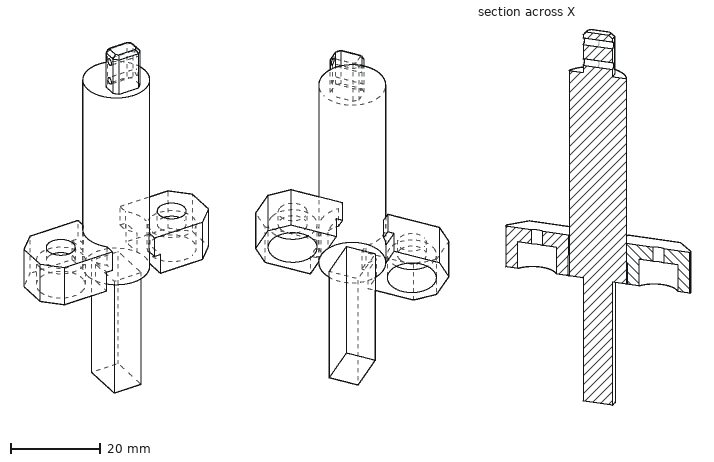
import cadquery as cq

barrel_diameter = 15.0
barrel_radius = barrel_diameter / 2
total_height = 90.0
bar_width = 10.0
bar_depth = 7.0
bar_length = 30.0
tab_width = 5.0
tab_height = 10.0
tab_center_x = 3.0
tab_corner_chamfer = 1.0
tab_top_chamfer = 0.8
pin_hole_diameter = 1.5
pin_hole_spacing = 5.0
upper_pin_hole_drop = 2.4
barrel_top = total_height - tab_height
barrel_length = barrel_top - bar_length

overall_depth = 44.0
lug_outer_y = overall_depth / 2
lug_height = 10.0
lug_inner_y = 5.5
lug_step_y = 7.0
lug_step_height = 5.0
lug_corner_chamfer = 4.0
bolt_hole_y = 14.5
bolt_hole_diameter = 6.5
bolt_head_diameter = 11.0
bolt_head_depth = 6.5


def make_plunger():
    """Round barrel with a square-edged bar below and an offset drilled tab above."""
    bar = cq.Workplane("XY").rect(bar_width, bar_depth).extrude(bar_length)
    barrel = cq.Workplane("XY", origin=(0, 0, bar_length)).circle(barrel_radius).extrude(barrel_length)
    return bar.union(barrel).union(make_tab())


def make_tab():
    """Chamfered tab, as deep as the bar, with two pin holes along Y."""
    tab = (
        cq.Workplane("XY", origin=(tab_center_x, 0, barrel_top))
        .rect(tab_width, bar_depth)
        .extrude(tab_height)
        .edges("|Z")
        .chamfer(tab_corner_chamfer)
        .faces(">Z")
        .chamfer(tab_top_chamfer)
    )
    upper_hole_z = total_height - upper_pin_hole_drop
    pin_holes = (
        cq.Workplane("XZ")
        .pushPoints([(tab_center_x, upper_hole_z), (tab_center_x, upper_hole_z - pin_hole_spacing)])
        .circle(pin_hole_diameter / 2)
        .extrude(bar_depth, both=True)
    )
    return tab.cut(pin_holes)


def make_lug(side):
    """Stepped lug hugging the barrel, its bolt hole counterbored from below; side is +1 for +Y and -1 for -Y."""
    profile = [
        (side * lug_step_y, bar_length),
        (side * lug_outer_y, bar_length),
        (side * lug_outer_y, bar_length + lug_height),
        (side * lug_inner_y, bar_length + lug_height),
        (side * lug_inner_y, bar_length + lug_step_height),
        (side * lug_step_y, bar_length + lug_step_height),
    ]
    outer_face = ">Y" if side > 0 else "<Y"
    lug = (
        cq.Workplane("YZ")
        .polyline(profile)
        .close()
        .extrude(barrel_radius, both=True)
        .faces(outer_face)
        .edges("|Z")
        .chamfer(lug_corner_chamfer)
    )
    barrel_seat = cq.Workplane("XY", origin=(0, 0, bar_length)).circle(barrel_radius).extrude(lug_height)
    bolt_hole = (
        cq.Workplane("XY", origin=(0, side * bolt_hole_y, bar_length))
        .circle(bolt_hole_diameter / 2)
        .extrude(lug_height)
    )
    bolt_head_recess = (
        cq.Workplane("XY", origin=(0, side * bolt_hole_y, bar_length))
        .circle(bolt_head_diameter / 2)
        .extrude(bolt_head_depth)
    )
    return lug.cut(barrel_seat).cut(bolt_hole).cut(bolt_head_recess)


plunger = make_plunger()
lugs = [make_lug(side) for side in (-1, 1)]

result = cq.Compound.makeCompound([plunger.val(), *[lug.val() for lug in lugs]])